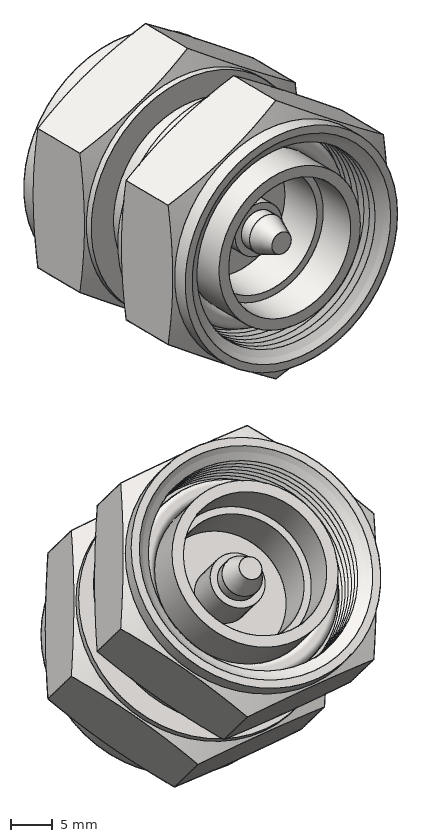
import cadquery as cq
import math

length = 32.2
half_length = length / 2

across_corners = 36.95
collar_radius = 15.78
nut_length = 13.45
corner_start = 3.1
corner_end = 11.5
corner_chamfer = 1.0
neck_radius = 12.45

mouth_radius = 14.75
thread_root_radius = 14.1
thread_crest_radius = 13.23
thread_lead_in = 0.5
thread_pitch = 1.1
thread_groove_count = 7

gasket_front_depth = 5.9
gasket_outer_radius = 12.7
gasket_round = 0.78

sleeve_radius = 10.5
sleeve_front_depth = 0.35
bore_radius = 9.05
bore_step_depth = 5.8
inner_bore_radius = 8.13
inner_bore_depth = 12.2

pin_tip_radius = 1.45
pin_tip_depth = 1.95
pin_radius = 2.55
pin_cone_depth = 4.9
pin_base_radius = 3.47
pin_shoulder_depth = 6.55


def revolve_about_x(outline):
    """Turn a closed outline of (depth, radius) points into a solid around the X axis."""
    return outline.close().revolve(360, (0, 0, 0), (1, 0, 0))


def cylinder(start, end, radius):
    return cq.Workplane("YZ").workplane(offset=start).circle(radius).extrude(end - start)


def nut_hexagon():
    """Hexagon with corners on Z, its corners bevelled by a cone at both ends."""
    corner_radius = across_corners / 2
    start = corner_start - corner_chamfer
    end = corner_end + corner_chamfer
    hexagon = (
        cq.Workplane("YZ")
        .workplane(offset=start)
        .polygon(6, across_corners)
        .extrude(end - start)
        .rotate((0, 0, 0), (1, 0, 0), 90)
    )
    bevel = revolve_about_x(
        cq.Workplane("XY").polyline([
            (start, 0),
            (start, collar_radius),
            (corner_start, corner_radius),
            (corner_end, corner_radius),
            (end, collar_radius),
            (end, 0),
        ])
    )
    return hexagon.intersect(bevel)


def threaded_space():
    """Ring-shaped space with V-shaped thread grooves and the gasket left standing on its floor.

    The floor lies at the last thread crest.
    """
    wall = [(0, sleeve_radius), (0, mouth_radius)]
    for groove in range(thread_groove_count):
        root_depth = thread_lead_in + groove * thread_pitch
        floor_depth = root_depth + thread_pitch / 2
        wall.append((root_depth, thread_root_radius))
        wall.append((floor_depth, thread_crest_radius))
    wall.append((floor_depth, gasket_outer_radius))

    round_end_depth = gasket_front_depth + gasket_round
    arc_reach = gasket_round * math.sqrt(0.5)
    outer_centre = gasket_outer_radius - gasket_round
    inner_centre = sleeve_radius + gasket_round
    return revolve_about_x(
        cq.Workplane("XY")
        .polyline(wall)
        .lineTo(round_end_depth, gasket_outer_radius)
        .threePointArc(
            (round_end_depth - arc_reach, outer_centre + arc_reach),
            (gasket_front_depth, outer_centre),
        )
        .lineTo(gasket_front_depth, inner_centre)
        .threePointArc(
            (round_end_depth - arc_reach, inner_centre - arc_reach),
            (round_end_depth, sleeve_radius),
        )
    )


def centre_pin():
    return revolve_about_x(
        cq.Workplane("XY").polyline([
            (pin_tip_depth, 0),
            (pin_tip_depth, pin_tip_radius),
            (pin_cone_depth, pin_radius),
            (pin_shoulder_depth, pin_radius),
            (pin_shoulder_depth, pin_base_radius),
            (inner_bore_depth, pin_base_radius),
            (inner_bore_depth, 0),
        ])
    )


def coupling_end():
    """One coupling nut with its sleeve and pin, front face at X = 0 and back face at X = nut_length."""
    body = cylinder(0, nut_length, collar_radius).union(nut_hexagon())
    body = body.cut(threaded_space())
    body = body.cut(cylinder(0, sleeve_front_depth, sleeve_radius))
    body = body.cut(cylinder(0, bore_step_depth, bore_radius))
    body = body.cut(cylinder(0, inner_bore_depth, inner_bore_radius))
    return body.union(centre_pin())


left_end = coupling_end().translate((-half_length, 0, 0))
right_end = left_end.mirror("YZ")
neck = cylinder(nut_length - half_length, half_length - nut_length, neck_radius)
result = neck.union(left_end).union(right_end)